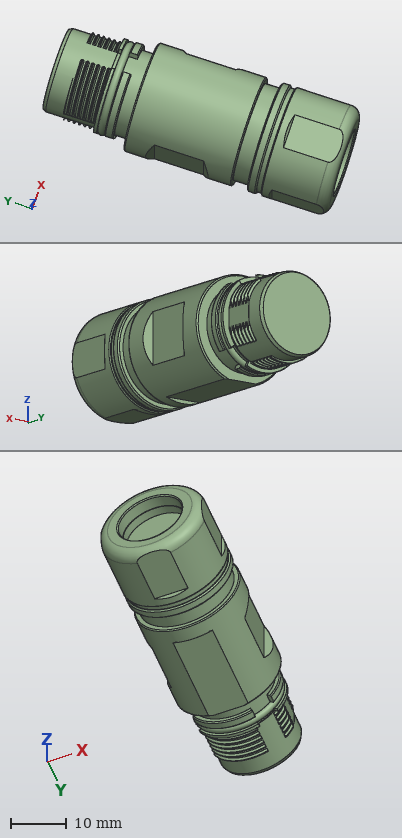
import cadquery as cq
import math

length = 54.65
outer_r = 20.5 / 2

nut_end = 12.45
nut_rounding = 2.1
nut_flat_r = 9.75
nut_flat_end = 10.5
nut_flat_runout = 0.45
nut_bevel = 0.2

mouth_bevel = 0.2
bore_r = 6.2
bore_depth = 2.4
bore_inner_r = 6.05
bore_inner_depth = 4.05

groove_r = 9.85
collar_start = 13.35
collar_end = 15.1
collar_bevel = 0.3
neck_r = 9.2

body_start = 18.0
body_end = 38.5
body_front_bevel = 0.2
body_rear_bevel = 0.3
pocket_r = 8.95
pocket_floor_start = 23.7
pocket_floor_end = 33.0
underside_z = 9.5
underside_start = 20.95

plug_neck_r = 8.05
plug_r = 15.8 / 2
plug_bevel = 0.35
plug_bevel_length = 0.65

rear_flange_start = 40.9
rear_flange_end = 42.5
front_flange_start = 44.0
front_flange_end = 44.6
flange_r = 9.0
flange_bevel = 0.2
flange_gap_angles = [68, 194, 308]
flange_gap_width = 29
ring_outer_r = 8.85

thread_end = 50.65
thread_turns = 6
thread_pitch = (thread_end - front_flange_end) / thread_turns
thread_phase = 0.1
thread_crest_r = 8.35
thread_crest_width = 0.15
thread_root_width = 0.8
thread_gap_angles = [67, 185, 305]
thread_gap_width = 30
thread_side_x = 7.7

wedge_reach = 2 * outer_r
overshoot = 0.55
embed = 0.15


def cylinder(start, end, radius):
    """Cylinder around the Y axis between two stations."""
    return cq.Workplane("XZ", origin=(0, start, 0)).circle(radius).extrude(start - end)


def wedge(start, end, angle, width):
    """Sector about the Y axis; the angle runs from +X towards +Z."""
    half = math.radians(width / 2)
    middle = math.radians(angle)
    corners = [
        (wedge_reach * math.cos(middle + side * half), wedge_reach * math.sin(middle + side * half))
        for side in (-1, 1)
    ]
    outline = cq.Workplane("XZ", origin=(0, start, 0)).polyline([(0, 0)] + corners).close()
    return outline.extrude(start - end)


def cut_gaps(ring, start, end, angles, width):
    """Interrupt a ring by wedge-shaped gaps."""
    for angle in angles:
        ring = ring.cut(wedge(start, end, angle, width))
    return ring


def side_cutter(points):
    """Prism across the +X side from an outline in X and Y."""
    return cq.Workplane("XY").polyline(points).close().extrude(outer_r, both=True)


def make_nut():
    nut = cylinder(0, nut_end, outer_r)
    nut = nut.faces("<Y").edges().fillet(nut_rounding)
    nut = nut.faces(">Y").edges().chamfer(nut_bevel)
    reach = outer_r + overshoot
    slope = nut_flat_runout / (outer_r - nut_flat_r)
    flat_cutter = side_cutter([
        (nut_flat_r, -overshoot),
        (nut_flat_r, nut_flat_end),
        (reach, nut_flat_end + slope * (reach - nut_flat_r)),
        (reach, -overshoot),
    ])
    for angle in (0, 90, 180, 270):
        nut = nut.cut(flat_cutter.rotate((0, 0, 0), (0, 1, 0), angle))
    nut = nut.cut(cylinder(0, bore_depth, bore_r))
    nut = nut.faces("<Y").edges(cq.selectors.RadiusNthSelector(0)).chamfer(mouth_bevel)
    return nut.cut(cylinder(0, bore_inner_depth, bore_inner_r))


def make_collar():
    collar = cylinder(collar_start, collar_end, outer_r).edges().chamfer(collar_bevel)
    groove = cylinder(nut_end, collar_start, groove_r)
    neck = cylinder(collar_end, body_start, neck_r)
    return collar.union(groove).union(neck)


def make_body():
    body = cylinder(body_start, body_end, outer_r)
    body = body.faces("<Y").edges().chamfer(body_front_bevel)
    body = body.faces(">Y").edges().chamfer(body_rear_bevel)
    reach = outer_r + overshoot
    run = reach - pocket_r
    pocket_cutter = side_cutter([
        (pocket_r, pocket_floor_start),
        (pocket_r, pocket_floor_end),
        (reach, pocket_floor_end + run),
        (reach, pocket_floor_start - run),
    ])
    for angle in (0, 180):
        body = body.cut(pocket_cutter.rotate((0, 0, 0), (0, 1, 0), angle))
    underside = cq.Workplane("XY").box(
        2 * outer_r, body_end - underside_start, outer_r, centered=(True, False, False)
    )
    return body.cut(underside.translate((0, underside_start, -underside_z - outer_r)))


def make_thread_zone():
    """Sectors that carry the thread."""
    zone = cylinder(front_flange_end, thread_end, outer_r)
    return cut_gaps(zone, front_flange_end, thread_end, thread_gap_angles, thread_gap_width)


def make_thread_turn():
    """One turn of the helical ridge, built along Z and turned onto the Y axis."""
    root = plug_r - embed
    path = cq.Wire.makeHelix(thread_pitch, thread_pitch, plug_r)
    profile = cq.Workplane("XZ").polyline([
        (root, -thread_root_width / 2),
        (thread_crest_r, -thread_crest_width / 2),
        (thread_crest_r, thread_crest_width / 2),
        (root, thread_root_width / 2),
    ]).close()
    turn = profile.sweep(cq.Workplane(path), isFrenet=True)
    turn = turn.rotate((0, 0, 0), (1, 0, 0), -90)
    return turn.rotate((0, 0, 0), (0, 1, 0), -thread_gap_angles[1])


def make_plug():
    plug = cylinder(front_flange_end, length, plug_r)
    plug = plug.faces(">Y").edges().chamfer(plug_bevel_length, plug_bevel)
    zone = make_thread_zone()
    between_flats = cq.Workplane("XY").box(
        2 * thread_side_x, length, 2 * outer_r, centered=(True, False, True)
    )
    plug = plug.cut(zone.cut(between_flats))
    threaded_zone = zone.intersect(between_flats)
    turn = make_thread_turn()
    for index in range(-1, thread_turns + 1):
        start = front_flange_end + thread_phase + index * thread_pitch
        plug = plug.union(turn.translate((0, start, 0)).intersect(threaded_zone))
    return plug.union(cylinder(body_end, front_flange_end, plug_neck_r))


def make_flanges():
    rear = cylinder(rear_flange_start, rear_flange_end, flange_r).edges().chamfer(flange_bevel)
    front = cylinder(front_flange_start, front_flange_end, flange_r)
    flanges = rear.union(front)
    return cut_gaps(flanges, rear_flange_start, front_flange_end, flange_gap_angles, flange_gap_width)


def make_sealing_ring():
    section_r = (front_flange_start - rear_flange_end) / 2
    centre = (section_r - ring_outer_r, rear_flange_end + section_r)
    return cq.Workplane("XY").center(*centre).circle(section_r).revolve(
        360, (-centre[0], 0), (-centre[0], 1)
    )


result = make_nut()
for piece in (make_collar(), make_body(), make_plug(), make_flanges(), make_sealing_ring()):
    result = result.union(piece)